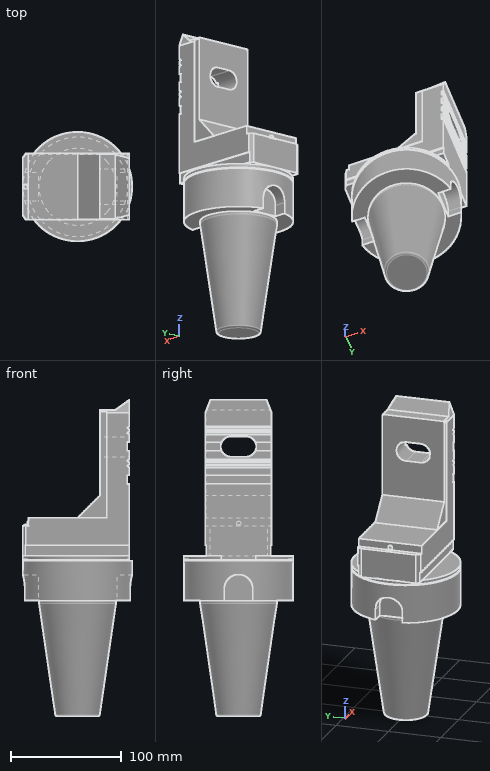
import cadquery as cq
import math

SHANK_DIAMETER = 69.8
SHANK_TAPER = 7 / 24
SHANK_COLLAR = 2.5
SHANK_END_ROUND = 2.0

FLANGE_DIAMETER = 99.0
FLANGE_BOTTOM = 104.7
UNDERCUT_DIAMETER = 90.0
UNDERCUT_BOTTOM = 140.7
UNDERCUT_HEIGHT = 1.0
LIP_TOP = 145.0
DRIVE_SLOT_WIDTH = 25.7
DRIVE_SLOT_HEIGHT = 23.5
DRIVE_SLOT_FLOOR = SHANK_DIAMETER / 2 + 0.5

BODY_WIDTH = 60.0
BACK_X = 47.0
FRONT_X = -FLANGE_DIAMETER / 2
FRONT_FLAT_WIDTH = 52.0
FRONT_CHAMFER_ANGLE = 35
WAIST_INSET = 1.0
WAIST_TOP = 154.5
BASE_TOP = 179.5
LEDGE_X = -44.3
LEDGE_TOP = 172.0

PLATE_JOINT_X = 26.3
UPRIGHT_FRONT_X = 20.3
FRONT_PLATE_INSET = 0.43
GUSSET_SIZE = 20.0
SHOULDER_TOP = 276.8
PEAK_TOP = 286.0
PEAK_FOOT_X = 34.0
SIDE_BEVEL_BOTTOM = 274.2
PEAK_WIDTH = 51.0

WINDOW_LENGTH = 32.0
WINDOW_HEIGHT = 18.0
WINDOW_Z = 243.5

GROOVE_DEPTH = 1.85
WIDE_GROOVE_HEIGHT = 7.7
WIDE_GROOVES_Z = (244.0, 214.0)
VEE_HEIGHT = 3.0
VEE_SPACING = 4.5
VEE_PAIRS_Z = (258.2, 228.5)

BEAD_RADIUS = 2.3
LEDGE_BEAD_X = -46.5
WALL_BEAD_Z = 174.5
BEAD_PROTRUSION = 1.3


def box_between(x0, x1, width, z0, z1):
    """Box symmetric about the XZ plane."""
    centre_x = (x0 + x1) / 2
    return cq.Workplane("XY", origin=(centre_x, 0, z0)).rect(x1 - x0, width).extrude(z1 - z0)


def side_plate(points, width):
    """Outline of (x, z) points extruded symmetrically about the XZ plane."""
    return cq.Workplane("XZ").polyline(points).close().extrude(width / 2, both=True)


def make_shank():
    taper_top = FLANGE_BOTTOM - SHANK_COLLAR
    top_radius = SHANK_DIAMETER / 2
    end_radius = top_radius - SHANK_TAPER * taper_top / 2
    profile = [
        (0, 0), (end_radius, 0), (top_radius, taper_top),
        (top_radius, FLANGE_BOTTOM), (0, FLANGE_BOTTOM),
    ]
    shank = (
        cq.Workplane("XZ")
        .polyline(profile)
        .close()
        .revolve(360, (0, 0), (0, 1))
    )
    return shank.faces("<Z").edges().fillet(SHANK_END_ROUND)


def make_flange():
    def disc(diameter, z0, z1):
        return cq.Workplane("XY", origin=(0, 0, z0)).circle(diameter / 2).extrude(z1 - z0)

    lip_bottom = UNDERCUT_BOTTOM + UNDERCUT_HEIGHT
    flange = disc(FLANGE_DIAMETER, FLANGE_BOTTOM, UNDERCUT_BOTTOM)
    flange = flange.union(disc(UNDERCUT_DIAMETER, UNDERCUT_BOTTOM, lip_bottom))
    lip = disc(FLANGE_DIAMETER, lip_bottom, LIP_TOP)
    lip = lip.intersect(box_between(FRONT_X, BACK_X, FLANGE_DIAMETER, lip_bottom, LIP_TOP))
    return flange.union(lip)


def make_drive_slot(side):
    """Round-topped slot cutter, open at the bottom; side is +1 or -1 along X."""
    radius = DRIVE_SLOT_WIDTH / 2
    spring_z = FLANGE_BOTTOM + DRIVE_SLOT_HEIGHT - radius
    return (
        cq.Workplane("YZ", origin=(side * DRIVE_SLOT_FLOOR, 0, 0))
        .moveTo(-radius, FLANGE_BOTTOM)
        .lineTo(-radius, spring_z)
        .threePointArc((0, spring_z + radius), (radius, spring_z))
        .lineTo(radius, FLANGE_BOTTOM)
        .close()
        .extrude(side * FLANGE_DIAMETER / 2)
    )


def make_base():
    def slab(width, z0, z1):
        flat = FRONT_FLAT_WIDTH / 2
        half = width / 2
        chamfer_x = FRONT_X + (half - flat) * math.tan(math.radians(FRONT_CHAMFER_ANGLE))
        outline = [
            (FRONT_X, -flat), (chamfer_x, -half), (BACK_X, -half),
            (BACK_X, half), (chamfer_x, half), (FRONT_X, flat),
        ]
        return cq.Workplane("XY", origin=(0, 0, z0)).polyline(outline).close().extrude(z1 - z0)

    base = slab(BODY_WIDTH - 2 * WAIST_INSET, LIP_TOP, WAIST_TOP)
    base = base.union(slab(BODY_WIDTH, WAIST_TOP, BASE_TOP))
    return base.cut(box_between(FRONT_X, LEDGE_X, BODY_WIDTH, LEDGE_TOP, BASE_TOP))


def make_upright():
    back_plate = side_plate(
        [
            (PLATE_JOINT_X, BASE_TOP), (BACK_X, BASE_TOP), (BACK_X, PEAK_TOP),
            (PEAK_FOOT_X, SHOULDER_TOP), (PLATE_JOINT_X, SHOULDER_TOP),
        ],
        BODY_WIDTH,
    )
    front_plate = side_plate(
        [
            (PLATE_JOINT_X, BASE_TOP), (PLATE_JOINT_X, SHOULDER_TOP), (UPRIGHT_FRONT_X, SHOULDER_TOP),
            (UPRIGHT_FRONT_X, BASE_TOP + GUSSET_SIZE), (UPRIGHT_FRONT_X - GUSSET_SIZE, BASE_TOP),
        ],
        BODY_WIDTH - 2 * FRONT_PLATE_INSET,
    )
    half = BODY_WIDTH / 2
    bevelled_shape = (
        cq.Workplane("YZ")
        .polyline([
            (-half, BASE_TOP), (half, BASE_TOP), (half, SIDE_BEVEL_BOTTOM),
            (PEAK_WIDTH / 2, PEAK_TOP), (-PEAK_WIDTH / 2, PEAK_TOP), (-half, SIDE_BEVEL_BOTTOM),
        ])
        .close()
        .extrude(BACK_X)
    )
    window = (
        cq.Workplane("YZ", origin=(0, 0, WINDOW_Z))
        .slot2D(WINDOW_LENGTH, WINDOW_HEIGHT)
        .extrude(BACK_X)
    )
    return back_plate.union(front_plate).intersect(bevelled_shape).cut(window)


def make_back_grooves():
    floor_x = BACK_X - GROOVE_DEPTH
    cutters = cq.Workplane("XY")
    for z in WIDE_GROOVES_Z:
        half = WIDE_GROOVE_HEIGHT / 2
        cutters = cutters.union(box_between(floor_x, BACK_X, BODY_WIDTH, z - half, z + half))
    for pair_z in VEE_PAIRS_Z:
        for z in (pair_z - VEE_SPACING / 2, pair_z + VEE_SPACING / 2):
            half = VEE_HEIGHT / 2
            vee = [(floor_x, z), (BACK_X, z - half), (BACK_X, z + half)]
            cutters = cutters.union(side_plate(vee, BODY_WIDTH))
    return cutters


def make_bead(x, z):
    return cq.Workplane("XY").sphere(BEAD_RADIUS).translate((x, 0, z))


result = make_shank().union(make_flange())
for side in (-1, 1):
    result = result.cut(make_drive_slot(side))
result = result.union(make_base()).union(make_upright()).cut(make_back_grooves())
bead_sink = BEAD_RADIUS - BEAD_PROTRUSION
result = result.union(make_bead(LEDGE_BEAD_X, LEDGE_TOP - bead_sink))
result = result.union(make_bead(LEDGE_X + bead_sink, WALL_BEAD_Z))